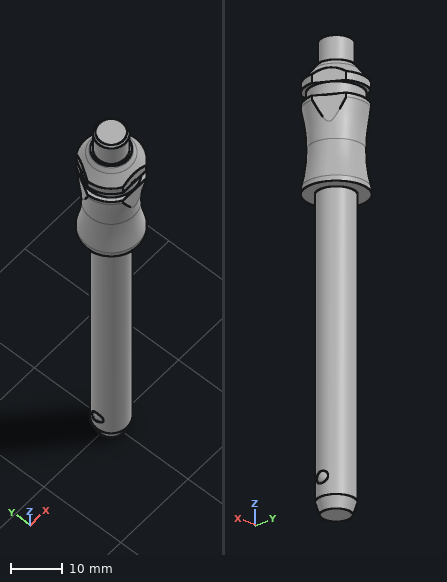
import cadquery as cq
import math

shaft_radius = 4.2
shaft_length = 68.3
tip_radius = 3.3
tip_length = 2.7

ball_radius = 1.7
ball_height_above_tip = 6.8
ball_reach = 4.8

handle_radius = 7.0
foot_height = 1.2
waist_radius = 5.9
waist_height = 9.5
flare_top = 18.0
groove_bottom = 18.9
groove_top = 21.6
groove_radius = 5.95
cone_bottom = 23.5
cone_top = 25.9
cone_top_radius = 5.05
cap_top = 27.1
cap_top_radius = 4.35
cap_chamfer = 0.25

flat_count = 3
flat_distance = 6.1

button_radius = 3.6
button_top = 33.0
button_chamfer = 0.5


def arc_mid_radius(start_radius, end_radius, height):
    """Radius at mid-height of an arc that leaves start_radius parallel to the axis."""
    rise = end_radius - start_radius
    arc_radius = (height**2 + rise**2) / (2 * rise)
    return start_radius + arc_radius - math.sqrt(arc_radius**2 - (height / 2) ** 2)


def make_shaft():
    """Turned shaft with a tapered tip."""
    profile = (
        cq.Workplane("XZ")
        .moveTo(0, -shaft_length)
        .lineTo(tip_radius, -shaft_length)
        .lineTo(shaft_radius, tip_length - shaft_length)
        .lineTo(shaft_radius, foot_height)
        .lineTo(0, foot_height)
        .close()
    )
    return profile.revolve(360, (0, 0, 0), (0, 1, 0))


def make_handle():
    """Turned handle whose sleeve flares out from a waist towards both ends."""
    lower_mid = (foot_height + waist_height) / 2
    upper_mid = (waist_height + flare_top) / 2
    lower_mid_radius = arc_mid_radius(waist_radius, handle_radius, waist_height - foot_height)
    upper_mid_radius = arc_mid_radius(waist_radius, handle_radius, flare_top - waist_height)
    profile = (
        cq.Workplane("XZ")
        .lineTo(handle_radius, 0)
        .lineTo(handle_radius, foot_height)
        .threePointArc((lower_mid_radius, lower_mid), (waist_radius, waist_height))
        .threePointArc((upper_mid_radius, upper_mid), (handle_radius, flare_top))
        .lineTo(handle_radius, groove_bottom)
        .lineTo(groove_radius, groove_bottom)
        .lineTo(groove_radius, groove_top)
        .lineTo(handle_radius, groove_top)
        .lineTo(handle_radius, cone_bottom)
        .lineTo(cone_top_radius, cone_top)
        .lineTo(cap_top_radius, cap_top - cap_chamfer)
        .lineTo(cap_top_radius - cap_chamfer, cap_top)
        .lineTo(0, cap_top)
        .close()
    )
    return profile.revolve(360, (0, 0, 0), (0, 1, 0))


def cut_flats(handle):
    """Mill the grip flats down the upper half of the handle, from the cap towards the waist."""
    cutter_depth = handle_radius
    cutter = cq.Workplane("XY").box(
        2 * handle_radius, cutter_depth, cap_top - waist_height, centered=(True, False, False)
    )
    cutter = cutter.translate((0, -flat_distance - cutter_depth, waist_height))
    for index in range(flat_count):
        handle = handle.cut(cutter.rotate((0, 0, 0), (0, 0, 1), index * 360 / flat_count))
    return handle


def make_button():
    """Round push button with a chamfered top edge."""
    button = cq.Workplane("XY").circle(button_radius).extrude(button_top)
    return button.faces(">Z").chamfer(button_chamfer)


def make_balls():
    """Pair of locking balls standing out of the shaft along X."""
    ball = cq.Workplane("XY").sphere(ball_radius)
    ball_centre = ball_reach - ball_radius
    ball_z = ball_height_above_tip - shaft_length
    left_ball = ball.translate((-ball_centre, 0, ball_z))
    right_ball = ball.translate((ball_centre, 0, ball_z))
    return left_ball.union(right_ball)


result = make_shaft().union(cut_flats(make_handle())).union(make_button()).union(make_balls())